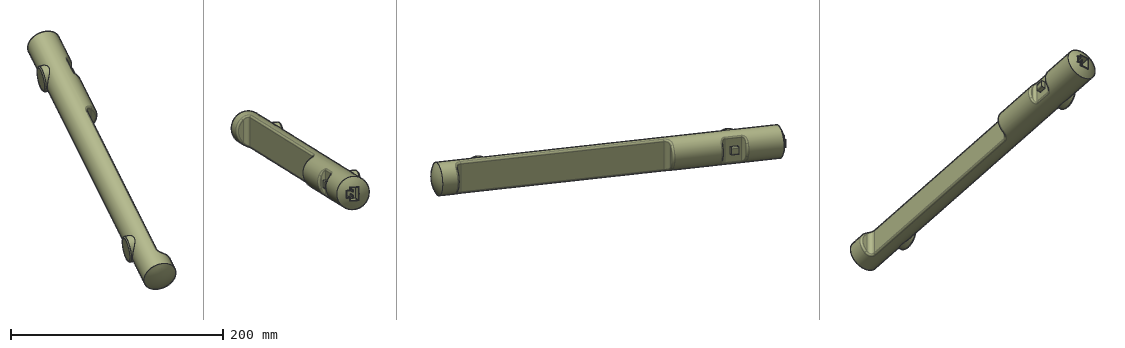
import cadquery as cq
import math

body_radius = 16.0
straight_length = 340.0
overall_length = 349.35
half_straight = straight_length / 2
dome_height = 4.87

foot_radius = 12.5
foot_spacing = 249.0
foot_face_y = -18.29
foot_edge_chamfer = 1.25

recess_edge_radius = 2.0

long_recess_left_x = -59.3
long_recess_right_x = 153.0
long_recess_floor_y = 4.3
long_recess_corner_radius = 5.0

short_recess_left_x = -133.0
short_recess_right_x = -110.2
short_recess_floor_y = 9.7
short_recess_corner_radius = 3.0

button_centre_x = -122.2
button_length_x = 7.4
button_length_z = 7.4
button_height = 4.3
button_edge_radius = 1.0

connector_depth = 10.0
connector_face_x = half_straight - overall_length + dome_height
shell_wall = 0.6
shell_low_y = -4.7
shell_step_y = 4.7
shell_high_y = 7.9
shell_half_width = 6.7
shell_key_half_width = 3.8
contact_y = 1.0
contact_spacing = 5.2
contact_thickness = 0.8
contact_width = 2.0
contact_setback = 2.0


def make_body():
    """Bar turned about X, with a spherical cap on each end."""
    cap_radius = (body_radius**2 + dome_height**2) / (2 * dome_height)
    mid_angle = math.asin(body_radius / cap_radius) / 2
    mid_x = half_straight + dome_height - cap_radius * (1 - math.cos(mid_angle))
    mid_z = cap_radius * math.sin(mid_angle)
    tip_x = half_straight + dome_height
    return (
        cq.Workplane("XZ")
        .moveTo(-tip_x, 0)
        .threePointArc((-mid_x, mid_z), (-half_straight, body_radius))
        .lineTo(half_straight, body_radius)
        .threePointArc((mid_x, mid_z), (tip_x, 0))
        .close()
        .revolve(360, (0, 0), (1, 0))
    )


def make_foot(centre_x):
    """Round foot turned about Y, chamfered around its outer face."""
    return (
        cq.Workplane("YZ", origin=(centre_x, 0, 0))
        .lineTo(0, foot_radius)
        .lineTo(foot_face_y + foot_edge_chamfer, foot_radius)
        .lineTo(foot_face_y, foot_radius - foot_edge_chamfer)
        .lineTo(foot_face_y, 0)
        .close()
        .revolve(360, (0, 0), (1, 0))
    )


def cut_recess(part, left_x, right_x, floor_y, corner_radius):
    """Cut an opening with rounded floor corners and round over its rim."""
    top_y = 2 * body_radius
    cutter = (
        cq.Workplane("XY")
        .box(right_x - left_x, top_y - floor_y, 4 * body_radius)
        .translate(((left_x + right_x) / 2, (top_y + floor_y) / 2, 0))
        .edges("|Z and <Y")
        .fillet(corner_radius)
    )
    margin = 0.01
    rim_box = cq.selectors.BoxSelector(
        (left_x - margin, floor_y - margin, -top_y),
        (right_x + margin, top_y, top_y),
        boundingbox=True,
    )
    floor_corners = cq.selectors.ParallelDirSelector(cq.Vector(0, 0, 1))
    return part.cut(cutter).edges(rim_box - floor_corners).fillet(recess_edge_radius)


def make_button():
    """Rectangular button, its lower end sunk to the bar's axis."""
    top_y = short_recess_floor_y + button_height
    return (
        cq.Workplane("XY")
        .box(button_length_x, top_y, button_length_z)
        .translate((button_centre_x, top_y / 2, 0))
        .edges("|X and >Y")
        .fillet(button_edge_radius)
    )


def t_prism(inset, start_x, length):
    """T-shaped prism running along +X, its outline moved inwards by inset."""
    half_width = shell_half_width - inset
    key_half_width = shell_key_half_width - inset
    low_y = shell_low_y + inset
    step_y = shell_step_y - inset
    high_y = shell_high_y - inset
    outline = [
        (low_y, half_width),
        (step_y, half_width),
        (step_y, key_half_width),
        (high_y, key_half_width),
        (high_y, -key_half_width),
        (step_y, -key_half_width),
        (step_y, -half_width),
        (low_y, -half_width),
    ]
    return cq.Workplane("YZ", origin=(start_x, 0, 0)).polyline(outline).close().extrude(length)


def add_connector(part):
    """Flat-ended shell flush with the tip of the bar, hollowed, with contacts."""
    part = part.cut(t_prism(0, connector_face_x - dome_height, dome_height))
    part = part.union(t_prism(0, connector_face_x, connector_depth))
    part = part.cut(t_prism(shell_wall, connector_face_x, connector_depth))
    contacts = (
        cq.Workplane("YZ", origin=(connector_face_x + contact_setback, contact_y, 0))
        .pushPoints([(0, -contact_spacing / 2), (0, contact_spacing / 2)])
        .rect(contact_thickness, contact_width)
        .extrude(connector_depth)
    )
    return part.union(contacts)


result = make_body()
result = cut_recess(
    result,
    long_recess_left_x,
    long_recess_right_x,
    long_recess_floor_y,
    long_recess_corner_radius,
)
result = cut_recess(
    result,
    short_recess_left_x,
    short_recess_right_x,
    short_recess_floor_y,
    short_recess_corner_radius,
)
result = result.union(make_button())
for foot_x in (-foot_spacing / 2, foot_spacing / 2):
    result = result.union(make_foot(foot_x))
result = add_connector(result)